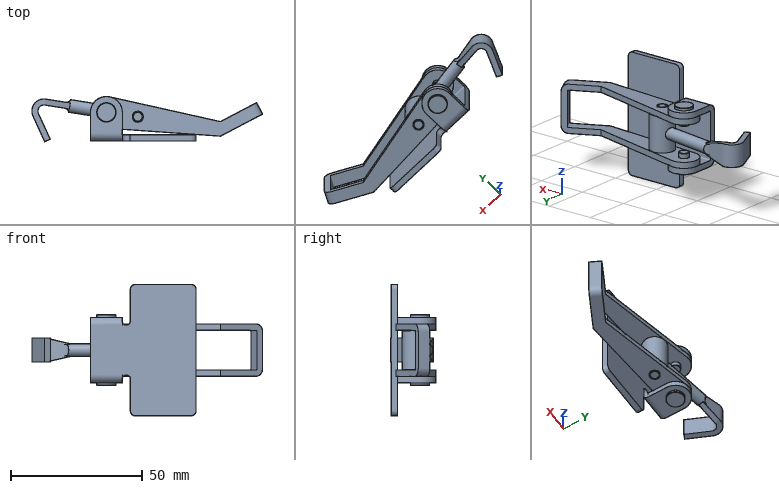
import cadquery as cq
import math


sheet = 2.5
bend_outer = 3.0
bend_inner = bend_outer - sheet
pivot_radius = 6.05
lever_width = 20.0
lever_gap = lever_width - 2 * sheet

plate_outer_y = -11.0
plate_inner_y = plate_outer_y + sheet
plate_left = 9.0
plate_length = 25.1
plate_height = 50.0
plate_corner = 2.0
ear_width_z = lever_width + 2 * sheet

top_edge_slope = 12.6
bottom_edge_slope = 4.0
handle_angle = 27.7
elbow_x = 43.3
lever_end_x = 59.4

rivet_head_radius = 3.7
rivet_head_height = 1.05
rivet_shank_radius = 2.0
rivet_tail = 2.1
rivet_chamfer = 0.2

trunnion_x = 11.9
trunnion_y = -1.7
barrel_radius = 5.1
barrel_clearance = 0.2
journal_radius = 2.1
journal_chamfer = 0.4

hook_tilt = 9.0
rod_radius = 2.5
strip = 2.4
strip_width = 9.2
strip_bend_inner = 2.3
strip_bend_at = 35.5
taper_end = 26.15
flare_start = 28.0
flare_radius = 1.9
hook_leg_slope = 65.3
hook_leg_length = 10.7


def z_cylinder(x, y, radius, z_from, z_to):
    return cq.Workplane("XY", origin=(x, y, z_from)).circle(radius).extrude(z_to - z_from)


def make_bracket():
    clevis = (
        cq.Workplane("XY")
        .box(2 * pivot_radius, -plate_outer_y, ear_width_z)
        .translate((0, plate_outer_y / 2, 0))
        .edges("|X and <Y").fillet(bend_outer)
        .union(z_cylinder(0, 0, pivot_radius, -ear_width_z / 2, ear_width_z / 2))
    )
    channel_depth = pivot_radius - plate_inner_y
    channel = (
        cq.Workplane("XY")
        .box(2 * pivot_radius, channel_depth, lever_width)
        .edges("|X and <Y").fillet(bend_inner)
        .translate((0, plate_inner_y + channel_depth / 2, 0))
    )
    clevis = clevis.cut(channel).cut(z_cylinder(0, 0, rivet_shank_radius, -ear_width_z, ear_width_z))

    def slab(x_from, x_to, height):
        return (
            cq.Workplane("XY")
            .box(x_to - x_from, sheet, height)
            .translate(((x_from + x_to) / 2, plate_outer_y + sheet / 2, 0))
        )

    plate = slab(plate_left, plate_left + plate_length, plate_height).edges("|Y").fillet(plate_corner)
    notch_radius = (plate_left - pivot_radius) / 2
    notch_center_z = ear_width_z / 2 - bend_outer + notch_radius
    neck = slab(pivot_radius, plate_left, 2 * notch_center_z)
    notch_centers = [(pivot_radius + notch_radius, side * notch_center_z) for side in (-1, 1)]
    notches = (
        cq.Workplane("XZ", origin=(0, plate_inner_y, 0))
        .pushPoints(notch_centers)
        .circle(notch_radius)
        .extrude(sheet)
    )
    return clevis.union(plate).union(neck.cut(notches))


def make_lever():
    top, bottom, rise = (math.radians(a) for a in (top_edge_slope, bottom_edge_slope, handle_angle))
    along = (math.cos(rise), math.sin(rise))
    top_tangent = (pivot_radius * math.sin(top), pivot_radius * math.cos(top))
    bottom_tangent = (-pivot_radius * math.sin(bottom), -pivot_radius * math.cos(bottom))
    top_elbow = (elbow_x, pivot_radius / math.cos(top) - elbow_x * math.tan(top))
    bottom_elbow = (elbow_x, -pivot_radius / math.cos(bottom) - elbow_x * math.tan(bottom))
    handle_depth = (top_elbow[1] - bottom_elbow[1]) * math.cos(rise)
    bottom_end = (lever_end_x, bottom_elbow[1] + (lever_end_x - elbow_x) * math.tan(rise))
    top_end = (bottom_end[0] - handle_depth * along[1], bottom_end[1] + handle_depth * along[0])
    blank = (
        cq.Workplane("XY", origin=(0, 0, -lever_width / 2))
        .moveTo(*bottom_tangent)
        .threePointArc((-pivot_radius, 0), top_tangent)
        .lineTo(*top_elbow)
        .lineTo(*top_end)
        .lineTo(*bottom_end)
        .lineTo(*bottom_elbow)
        .close()
        .extrude(lever_width)
    )
    across = cq.Vector(-along[1], along[0], 0)
    blank = blank.edges(cq.selectors.ParallelDirSelector(across)).fillet(bend_outer)

    end_frame = cq.Plane(
        origin=(bottom_end[0], bottom_end[1], 0), xDir=(along[0], along[1], 0), normal=(0, 0, 1)
    )
    reach = 2 * lever_end_x
    space = (
        cq.Workplane("XY")
        .box(reach, reach, lever_gap)
        .edges("|Y and >X").fillet(bend_inner)
        .translate((-reach / 2 - sheet, 0, 0))
        .val()
        .moved(cq.Location(end_frame))
    )
    lever = blank.cut(cq.Workplane(space))
    lever = lever.cut(z_cylinder(0, 0, rivet_shank_radius, -lever_width, lever_width))
    return lever.cut(z_cylinder(trunnion_x, trunnion_y, journal_radius, -lever_width, lever_width))


def make_rivet(side):
    """One pivot rivet, on the +Z (side = 1) or -Z (side = -1) arm."""
    seat = ear_width_z / 2
    head = z_cylinder(0, 0, rivet_head_radius, side * seat, side * (seat + rivet_head_height))
    shank = z_cylinder(0, 0, rivet_shank_radius, side * (lever_gap / 2 - rivet_tail), side * seat)
    outward = ">Z" if side > 0 else "<Z"
    inward = "<Z" if side > 0 else ">Z"
    rivet = head.union(shank)
    return rivet.faces(outward).chamfer(rivet_chamfer).faces(inward).chamfer(rivet_chamfer)


def make_rod():
    """The rod in the hook's own frame: x runs along the rod from the trunnion axis."""
    return cq.Workplane("YZ").circle(rod_radius).extrude(flare_start)


hook_angle = math.radians(hook_tilt)
hook_location = cq.Location(
    cq.Plane(
        origin=(trunnion_x, trunnion_y, 0),
        xDir=(-math.cos(hook_angle), math.sin(hook_angle), 0),
        normal=(0, 0, -1),
    )
)


def make_trunnion():
    barrel_half = lever_gap / 2 - barrel_clearance
    journals = (
        z_cylinder(trunnion_x, trunnion_y, journal_radius, -lever_width / 2, lever_width / 2)
        .faces("<Z or >Z").chamfer(journal_chamfer)
    )
    barrel = z_cylinder(trunnion_x, trunnion_y, barrel_radius, -barrel_half, barrel_half)
    return barrel.union(journals).cut(cq.Workplane(make_rod().val().moved(hook_location)))


def make_hook():
    half = strip / 2
    rod = make_rod()
    for side in (-1, 1):
        hollow = (
            cq.Workplane("XY", origin=(0, 0, -rod_radius))
            .center(flare_start, side * (half + flare_radius))
            .circle(flare_radius)
            .extrude(2 * rod_radius)
        )
        rod = rod.cut(hollow)

    taper = (
        cq.Workplane("XZ", origin=(0, half, 0))
        .polyline([
            (taper_end, -rod_radius),
            (strip_bend_at, -strip_width / 2),
            (strip_bend_at, strip_width / 2),
            (taper_end, rod_radius),
        ])
        .close()
        .extrude(strip)
    )

    inner, outer = strip_bend_inner, strip_bend_inner + strip
    center_y = -half - inner
    turn = math.radians(180 + hook_tilt - hook_leg_slope)

    def on_bend(radius, angle):
        return (strip_bend_at + radius * math.sin(angle), center_y + radius * math.cos(angle))

    def leg_end(radius):
        x, y = on_bend(radius, turn)
        return (x + hook_leg_length * math.cos(turn), y - hook_leg_length * math.sin(turn))

    tip = (
        cq.Workplane("XY", origin=(0, 0, -strip_width / 2))
        .moveTo(*on_bend(outer, 0))
        .threePointArc(on_bend(outer, turn / 2), on_bend(outer, turn))
        .lineTo(*leg_end(outer))
        .lineTo(*leg_end(inner))
        .lineTo(*on_bend(inner, turn))
        .threePointArc(on_bend(inner, turn / 2), on_bend(inner, 0))
        .close()
        .extrude(strip_width)
    )
    return cq.Workplane(rod.union(taper).union(tip).val().moved(hook_location))


bracket = make_bracket()
lever = make_lever()
rivets = [make_rivet(side) for side in (-1, 1)]
trunnion = make_trunnion()
hook = make_hook()

result = cq.Compound.makeCompound(
    [bracket.val(), lever.val(), *[rivet.val() for rivet in rivets], trunnion.val(), hook.val()]
)